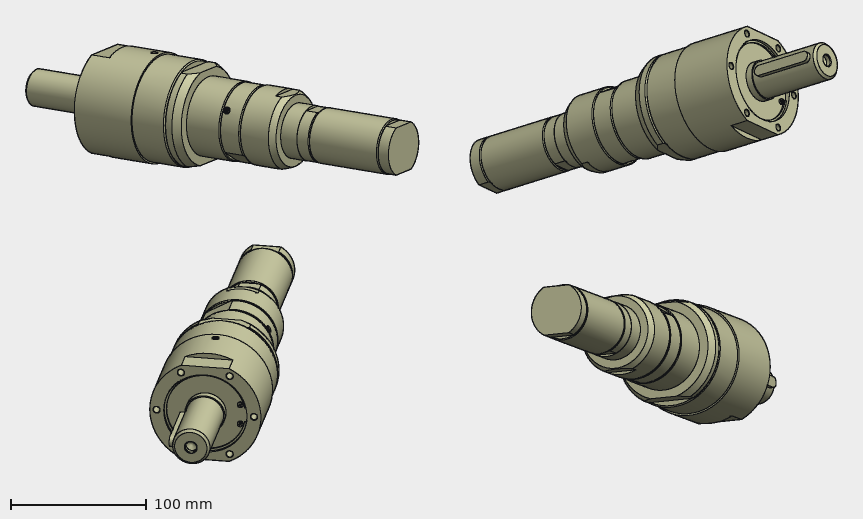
import cadquery as cq
import math


shaft_dia = 28.0
shaft_chamfer = 2.0
collar_start = 59.2
collar_dia = 30.0
center_hole_dia = 8.5
center_hole_mouth = 9.5
center_hole_depth = 4.0
drill_point_angle = 118

key_start = 4.8
key_length = 50.2
key_width = 8.0
key_top = 17.0
key_bottom = 9.5

front_face = 61.2
housing_dia = 83.0
housing_end = 110.8
housing_flat_end = 76.5
housing_flat_offset = 37.5
bolt_count = 6
bolt_circle_dia = 72.8
bolt_hole_dia = 4.8
bolt_hole_mouth = 5.5
bolt_hole_depth = 9.5
port_x = 104.5

port_steps = [(5.0, 1.0), (3.5, 2.3), (1.55, 4.8)]

recess_dia = 62.0
ring_inner_dia = 59.0
ring_depth = 2.3
ring_thickness = 1.3
ring_half_gap = 5.8
ear_radius_position = 26.7
ear_z = 7.7
ear_dia = 4.2
ear_hole_dia = 1.55

nut_dia = 80.5
nut_start = 139.0
nut_chamfer_start = 145.5
nut_end = 151.7
nut_chamfer_height = 3.2
nut_flat_offset = 35.5

sleeve_dia = 60.0
sleeve_ring_start = 180.5
sleeve_ring_end = 198.0
sleeve_flat_start = 218.0
sleeve_chamfer_start = 223.0
sleeve_end = 228.0
sleeve_chamfer_height = 3.0
sleeve_flat_offset = 27.53
sleeve_tilt = 30
sleeve_port_x = 184.2

handle_dia = 41.5
handle_band_dia = 41.2
handle_flat_start = 242.0
handle_flat_end = 252.5
handle_flat_offset = 19.0
inlet_flat_start = 312.5
inlet_flat_offset = 18.0
overall_length = 322.0

large_groove = 1.0
small_groove = 0.8


def cylinder(start, end, diameter):
    """Cylinder along X between two stations."""
    return cq.Workplane("YZ", origin=(start, 0, 0)).circle(diameter / 2).extrude(end - start)


def tapered_cylinder(start, chamfer_start, end, diameter, chamfer_height):
    """Cylinder along X whose far end narrows in a cone."""
    radius = diameter / 2
    profile = [
        (start, 0),
        (start, radius),
        (chamfer_start, radius),
        (end, radius - chamfer_height),
        (end, 0),
    ]
    return cq.Workplane("XY").polyline(profile).close().revolve(360, (0, 0, 0), (1, 0, 0))


def flat_cutter(start, end, offset, tilt=0):
    """Two opposite slabs beyond the given distance from the axis, turned about X."""
    slab_size = housing_dia
    slabs = cq.Workplane("XY")
    for side in (1, -1):
        slab = cq.Workplane("XY").box(end - start, slab_size, slab_size)
        middle = side * (offset + slab_size / 2)
        slabs = slabs.add(slab.translate(((start + end) / 2, 0, middle)))
    return slabs.combine().rotate((0, 0, 0), (1, 0, 0), tilt)


def v_groove_cutter(x, diameter, size):
    """Ring that cuts a 90 degree V into a cylinder."""
    radius = diameter / 2
    profile = [(x - size, radius), (x, radius - size), (x + size, radius)]
    outside = [(x + size, radius + size), (x - size, radius + size)]
    return cq.Workplane("XY").polyline(profile + outside).close().revolve(360, (0, 0, 0), (1, 0, 0))


def drilled_hole(diameter, depth, mouth_diameter):
    """Blind hole tool along +X from the origin, with a 45 degree mouth and a drill point."""
    radius = diameter / 2
    mouth_radius = mouth_diameter / 2
    point = radius / math.tan(math.radians(drill_point_angle / 2))
    profile = [
        (0, 0),
        (0, mouth_radius),
        (mouth_radius - radius, radius),
        (depth, radius),
        (depth + point, 0),
    ]
    return cq.Workplane("XY").polyline(profile).close().revolve(360, (0, 0, 0), (1, 0, 0))


def port_cutter(x, surface_radius, turn):
    """Stepped blind port sunk from the top surface, turned about X."""
    tool = cq.Workplane("XY")
    for diameter, depth in port_steps:
        top = cq.Workplane("XY", origin=(x, 0, surface_radius))
        tool = tool.union(top.circle(diameter / 2).extrude(-depth))
    return tool.rotate((0, 0, 0), (1, 0, 0), turn)


def make_turned_body():
    body = cylinder(0, collar_start, shaft_dia).faces("<X").chamfer(shaft_chamfer)
    body = body.union(cylinder(collar_start, front_face + ring_depth + ring_thickness, collar_dia))
    body = body.union(make_housing())
    body = body.union(cylinder(housing_end, nut_start, nut_dia))
    body = body.union(tapered_cylinder(nut_start, nut_chamfer_start, nut_end, nut_dia, nut_chamfer_height))
    body = body.union(
        tapered_cylinder(nut_end, sleeve_chamfer_start, sleeve_end, sleeve_dia, sleeve_chamfer_height)
    )
    body = body.union(cylinder(sleeve_end, handle_flat_start, handle_dia))
    body = body.union(cylinder(handle_flat_start, handle_flat_end, handle_band_dia))
    return body.union(cylinder(handle_flat_end, overall_length, handle_dia))


def make_housing():
    """Front housing with its recess, retaining ring and bolt holes, cut before the shaft is joined."""
    ring_face = front_face + ring_depth
    recess_floor = ring_face + ring_thickness
    housing = cylinder(front_face, housing_end, housing_dia)
    housing = housing.cut(cylinder(front_face, recess_floor, recess_dia))

    ring = cylinder(ring_face, recess_floor, recess_dia).cut(
        cylinder(ring_face, recess_floor, ring_inner_dia)
    )
    ear_y = -math.sqrt(ear_radius_position**2 - ear_z**2)
    for side in (1, -1):
        place = (0, ear_y, side * ear_z)
        ring = ring.union(cylinder(ring_face, recess_floor, ear_dia).translate(place))
        ring = ring.cut(cylinder(ring_face, recess_floor, ear_hole_dia).translate(place))
    gap = cq.Workplane("XY").box(ring_thickness, recess_dia, 2 * ring_half_gap)
    gap_middle = (ring_face + ring_thickness / 2, -recess_dia / 2, 0)
    housing = housing.union(ring.cut(gap.translate(gap_middle)))

    for index in range(bolt_count):
        hole = drilled_hole(bolt_hole_dia, bolt_hole_depth, bolt_hole_mouth)
        hole = hole.translate((front_face, bolt_circle_dia / 2, 0))
        housing = housing.cut(hole.rotate((0, 0, 0), (1, 0, 0), index * 360 / bolt_count))
    return housing


def make_key():
    key = cq.Workplane("XZ").center(key_start + key_length / 2, 0).slot2D(key_length, key_width)
    return key.extrude(-(key_top - key_bottom)).translate((0, key_bottom, 0))


result = make_turned_body().union(make_key())

result = result.cut(flat_cutter(front_face, housing_flat_end, housing_flat_offset))
result = result.cut(flat_cutter(nut_start, nut_end, nut_flat_offset))
result = result.cut(flat_cutter(sleeve_ring_start, sleeve_ring_end, sleeve_flat_offset, -sleeve_tilt))
result = result.cut(flat_cutter(sleeve_flat_start, sleeve_end, sleeve_flat_offset))
result = result.cut(flat_cutter(handle_flat_start, handle_flat_end, handle_flat_offset))
result = result.cut(flat_cutter(inlet_flat_start, overall_length, inlet_flat_offset))

groove_places = [
    (nut_start, nut_dia, large_groove),
    (sleeve_ring_start, sleeve_dia, small_groove),
    (sleeve_ring_end, sleeve_dia, small_groove),
    (handle_flat_end, handle_dia, small_groove),
    (inlet_flat_start, handle_dia, small_groove),
]
for groove_x, groove_dia, groove_size in groove_places:
    result = result.cut(v_groove_cutter(groove_x, groove_dia, groove_size))

result = result.cut(drilled_hole(center_hole_dia, center_hole_depth, center_hole_mouth))
result = result.cut(port_cutter(port_x, housing_dia / 2, 0))
result = result.cut(port_cutter(sleeve_port_x, sleeve_dia / 2, 90 - sleeve_tilt))